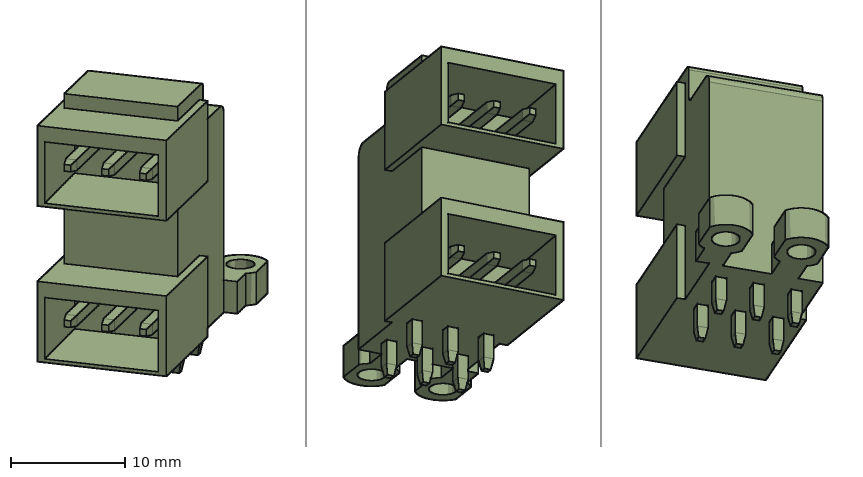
import cadquery as cq
import math


PIN_PITCH = 3.5
PIN_COUNT = 3
LEVEL_SPACING = 14.47

BODY_WIDTH = 10.52
BODY_FRONT_Y = 5.2
BODY_REAR_Y = 17.7
BODY_HEIGHT = 23.27
STEP_Y = 12.1
STEP_HEIGHT = 19.45
REAR_EDGE_RADIUS = 1.0
STEP_RADIUS = 0.5

SHROUD_WIDTH = 11.98
SHROUD_HEIGHT = 7.47
SHROUD_DEPTH = 11.1
SHROUD_OFFSET_X = 0.037
POCKET_FLOOR = 0.35
POCKET_HEIGHT = 5.7
POCKET_DEPTH = 8.0
POCKET_DRAFT = math.radians(1.0)

LUG_RADIUS = 2.52
LUG_WIDTH = 4.0
LUG_HOLE_DIAMETER = 2.5
LUG_STEM_WIDTH = 2.5
LUG_HEIGHT = 3.0
LUG_Y = 22.18
LUG_CENTRES_X = (-PIN_PITCH / 2, 1.5 * PIN_PITCH)

PIN_SIZE = 1.0
PIN_TIP_SIZE = 0.6
PIN_TAPER = 1.0
PIN_TIP_Y = 1.0
PIN_HEIGHT = 3.47
PIN_PROTRUSION = 3.23
LOWER_LEG_Y = 10.18
UPPER_LEG_Y = 15.2

LEVELS = ((0, LOWER_LEG_Y), (LEVEL_SPACING, UPPER_LEG_Y))
PIN_CENTRES_X = [(i - (PIN_COUNT - 1) / 2) * PIN_PITCH for i in range(PIN_COUNT)]


def box(width, depth, height, x, y, z):
    """Box centred on x, with its front at y and its underside at z."""
    return cq.Workplane("XY").box(width, depth, height, centered=(True, False, False)).translate((x, y, z))


def make_body_block():
    """Stepped block with a rounded rear edge and a rounded step."""
    profile = [
        (BODY_FRONT_Y, 0),
        (BODY_REAR_Y, 0),
        (BODY_REAR_Y, STEP_HEIGHT),
        (STEP_Y, STEP_HEIGHT),
        (STEP_Y, BODY_HEIGHT),
        (BODY_FRONT_Y, BODY_HEIGHT),
    ]
    block = cq.Workplane("YZ").polyline(profile).close().extrude(BODY_WIDTH / 2, both=True)

    def edge_at(y, z):
        return cq.selectors.NearestToPointSelector((0, y, z))

    block = block.edges(edge_at(BODY_REAR_Y, STEP_HEIGHT)).fillet(REAR_EDGE_RADIUS)
    block = block.edges(edge_at(STEP_Y, STEP_HEIGHT)).fillet(STEP_RADIUS)
    return block.edges(edge_at(STEP_Y, BODY_HEIGHT)).fillet(STEP_RADIUS)


def make_shroud(base_z):
    return box(SHROUD_WIDTH, SHROUD_DEPTH, SHROUD_HEIGHT, SHROUD_OFFSET_X, 0, base_z)


def make_pocket(base_z):
    """Socket cavity, as wide as the body, with drafted floor and roof."""
    floor_z = base_z + POCKET_FLOOR
    roof_z = floor_z + POCKET_HEIGHT
    rise = POCKET_DEPTH * math.tan(POCKET_DRAFT)
    profile = [
        (0, floor_z),
        (POCKET_DEPTH, floor_z + rise),
        (POCKET_DEPTH, roof_z - rise),
        (0, roof_z),
    ]
    return cq.Workplane("YZ").polyline(profile).close().extrude(BODY_WIDTH / 2, both=True)


def make_lug(x):
    """Round eye with flat sides, joined to the body by a narrower stem."""
    eye = cq.Workplane("XY").center(x, LUG_Y).circle(LUG_RADIUS).extrude(LUG_HEIGHT)
    flats = box(LUG_WIDTH, 2 * LUG_RADIUS, LUG_HEIGHT, x, LUG_Y - LUG_RADIUS, 0)
    stem = box(LUG_STEM_WIDTH, LUG_Y - BODY_REAR_Y, LUG_HEIGHT, x, BODY_REAR_Y, 0)
    hole = cq.Workplane("XY").center(x, LUG_Y).circle(LUG_HOLE_DIAMETER / 2).extrude(LUG_HEIGHT)
    return eye.intersect(flats).union(stem).cut(hole)


def make_pin_tip(plane):
    """Tapered square tip that narrows along the plane's normal."""
    return (
        cq.Workplane(plane)
        .rect(PIN_SIZE, PIN_SIZE)
        .workplane(offset=PIN_TAPER)
        .rect(PIN_TIP_SIZE, PIN_TIP_SIZE)
        .loft(ruled=True)
    )


def make_pin(x, axis_z, leg_y):
    """Square L-shaped pin: contact pointing forward, leg pointing down, both tapered."""
    half = PIN_SIZE / 2
    contact_start_y = PIN_TIP_Y + PIN_TAPER
    leg_end_z = PIN_TAPER - PIN_PROTRUSION
    contact = box(PIN_SIZE, leg_y + half - contact_start_y, PIN_SIZE, x, contact_start_y, axis_z - half)
    leg = box(PIN_SIZE, PIN_SIZE, axis_z + half - leg_end_z, x, leg_y - half, leg_end_z)
    contact_tip = make_pin_tip(cq.Plane((x, contact_start_y, axis_z), (1, 0, 0), (0, -1, 0)))
    leg_tip = make_pin_tip(cq.Plane((x, leg_y, leg_end_z), (1, 0, 0), (0, 0, -1)))
    return contact.union(leg).union(contact_tip).union(leg_tip)


def make_housing(pins):
    """One-piece housing with sockets, lugs and a matching passage for every pin."""
    housing = make_body_block()
    for base_z, _ in LEVELS:
        housing = housing.union(make_shroud(base_z))
    for base_z, _ in LEVELS:
        housing = housing.cut(make_pocket(base_z))
    for x in LUG_CENTRES_X:
        housing = housing.union(make_lug(x))
    for pin in pins:
        housing = housing.cut(pin)
    return housing


pins = [make_pin(x, base_z + PIN_HEIGHT, leg_y) for base_z, leg_y in LEVELS for x in PIN_CENTRES_X]
housing = make_housing(pins)

result = cq.Compound.makeCompound([housing.val(), *[pin.val() for pin in pins]])